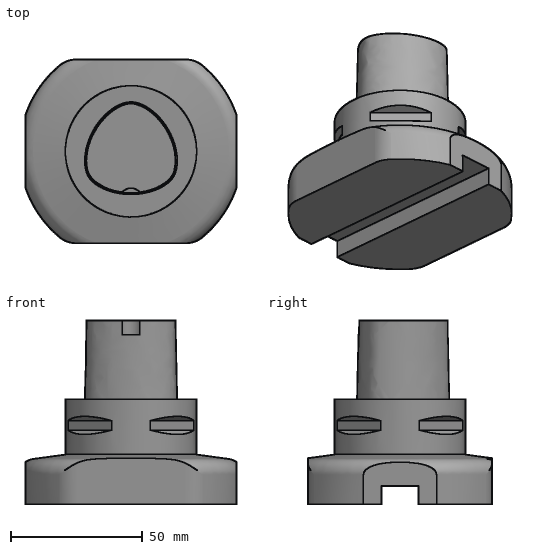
import cadquery as cq
import math

base_length = 80.4
base_width = 70.0
disc_radius = 42.5
disc_rim_height = 11.3
disc_round_radius = 6.0
cone_angle = math.radians(7.8)
corner_radius = 10.0

slot_width = 14.0
slot_height = 7.0

collar_radius = 50.0 / 2
collar_top = 40.0
groove_center_height = 30.1
groove_floor_height = 3.5
groove_floor_distance = 22.1
groove_flank_angle = math.radians(30)
groove_angles = (45, 135, 225, 315)
groove_reach = 4.0

total_height = 70.0
shank_base_radius = 17.6
shank_top_radius = 17.0
lobe_height = 1.2
lobe_count = 3
shank_curve_points = 48

notch_radius = 4.35
notch_axis_y = -18.3
notch_depth = 5.55


def make_base():
    """Revolved disc with a shallow conical top, trimmed by rounded flats."""
    round_center_r = disc_radius - disc_round_radius
    round_start_r = round_center_r + disc_round_radius * math.sin(cone_angle)
    round_start_z = disc_rim_height + disc_round_radius * math.cos(cone_angle)
    mid_angle = (math.pi / 2 - cone_angle) / 2
    round_middle = (
        round_center_r + disc_round_radius * math.cos(mid_angle),
        disc_rim_height + disc_round_radius * math.sin(mid_angle),
    )
    collar_bottom = round_start_z + (round_start_r - collar_radius) * math.tan(cone_angle)
    disc = (
        cq.Workplane("XZ")
        .lineTo(disc_radius, 0)
        .lineTo(disc_radius, disc_rim_height)
        .threePointArc(round_middle, (round_start_r, round_start_z))
        .lineTo(collar_radius, collar_bottom)
        .lineTo(collar_radius, collar_top)
        .lineTo(0, collar_top)
        .close()
        .revolve(360, (0, 0, 0), (0, 1, 0))
    )
    outline = (
        cq.Workplane("XY")
        .circle(disc_radius)
        .extrude(collar_top)
        .intersect(cq.Workplane("XY").box(2 * disc_radius, base_width, 2 * collar_top))
    )
    outline = outline.edges("|Z").fillet(corner_radius)
    end_flats = cq.Workplane("XY").box(base_length, base_width, 2 * collar_top)
    return disc.intersect(outline).intersect(end_flats)


def make_groove(angle):
    """Straight groove cutter with a flat floor and sloping flanks."""
    half_floor = groove_floor_height / 2
    half_mouth = half_floor + groove_reach * math.tan(groove_flank_angle)
    mouth_distance = groove_floor_distance + groove_reach
    return (
        cq.Workplane("XZ")
        .polyline([
            (groove_floor_distance, groove_center_height - half_floor),
            (mouth_distance, groove_center_height - half_mouth),
            (mouth_distance, groove_center_height + half_mouth),
            (groove_floor_distance, groove_center_height + half_floor),
        ])
        .close()
        .extrude(collar_radius, both=True)
        .rotate((0, 0, 0), (0, 0, 1), angle)
    )


def lobed_point(mean_radius, angle):
    """Point on the constant-width lobed curve where its outward normal is at angle."""
    phase = lobe_count * (angle - math.pi / 2)
    reach = mean_radius + lobe_height * math.cos(phase)
    slide = -lobe_count * lobe_height * math.sin(phase)
    return (
        reach * math.cos(angle) - slide * math.sin(angle),
        reach * math.sin(angle) + slide * math.cos(angle),
    )


def lobed_points(mean_radius):
    step = 2 * math.pi / shank_curve_points
    return [lobed_point(mean_radius, i * step) for i in range(shank_curve_points)]


def make_shank():
    """Tapered three-lobed shank, with one lobe pointing to +Y."""
    return (
        cq.Workplane("XY", origin=(0, 0, collar_top))
        .spline(lobed_points(shank_base_radius), periodic=True)
        .close()
        .workplane(offset=total_height - collar_top)
        .spline(lobed_points(shank_top_radius), periodic=True)
        .close()
        .loft(ruled=True)
    )


def make_notch():
    return (
        cq.Workplane("XY", origin=(0, notch_axis_y, total_height - notch_depth))
        .circle(notch_radius)
        .extrude(notch_depth)
    )


underside_slot = cq.Workplane("XY").box(base_length, slot_width, 2 * slot_height)

result = make_base().cut(underside_slot)
for groove_angle in groove_angles:
    result = result.cut(make_groove(groove_angle))
result = result.union(make_shank()).cut(make_notch())